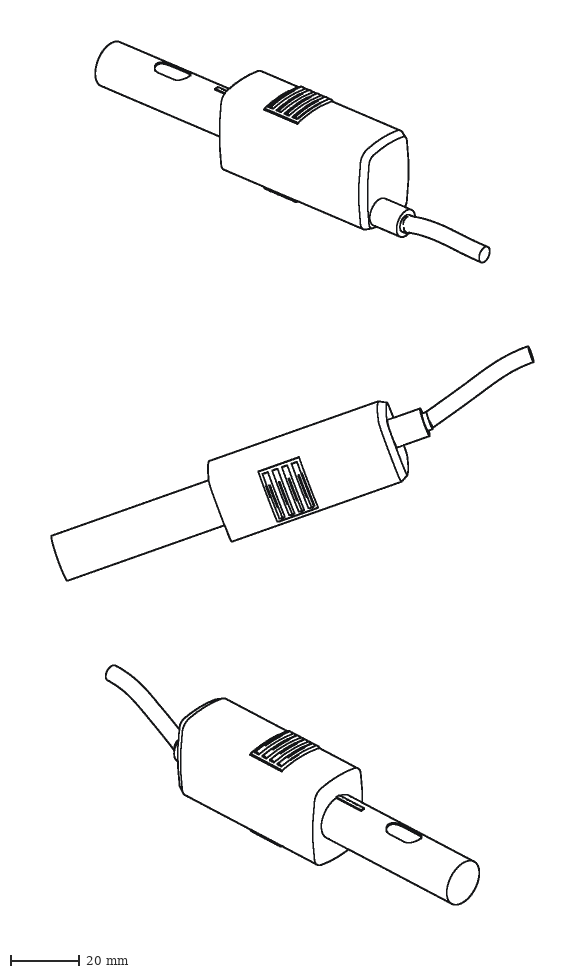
import cadquery as cq
import math

TUBE_DIAMETER = 14.0
TUBE_LENGTH = 50.0
TUBE_CORE_DIAMETER = 13.0
WINDOW_START = 17.6
WINDOW_LENGTH = 11.9
WINDOW_WIDTH = 6.0
KEY_LENGTH = 10.0
KEY_WIDTH = 1.4
KEY_RISE = 0.3

HOUSING_LENGTH = 55.0
HALF_WIDTH = 10.7
HALF_HEIGHT = 14.3
CORNER_RADIUS = 3.8
CORNER_Y = 6.2
CORNER_Z = 10.0
END_BEVEL_LENGTH = 2.3
END_BEVEL_INSET = 1.2
WALL_THICKNESS = 1.4

GRIP_CENTER_X = 71.2
PAD_LENGTH = 12.8
PAD_WIDTH = 16.3
PAD_RISE = 0.5
PAD_ROUND = 0.8
RIDGE_COUNT = 4
RIDGE_PITCH = 3.0
RIDGE_THICKNESS = 1.8
RIDGE_WIDTH = 14.5
RIDGE_RISE = 0.9
RIDGE_ROUND = 0.8

OUTLET_Y = -4.0
OUTLET_Z = -8.1
SLEEVE_DIAMETER = 8.6
SLEEVE_LENGTH = 10.1
NECK_DIAMETER = 5.5
NECK_LENGTH = 1.5
CABLE_DIAMETER = 5.0
CABLE_END = (150.8, -11.2, -1.8)
CABLE_MIDDLE = (131.5, -7.7, -3.8)
CABLE_START_DIRECTION = (1.0, -0.2, 0.4)
CABLE_END_DIRECTION = (1.0, 0.0, 0.0)

HOUSING_END = TUBE_LENGTH + HOUSING_LENGTH
SLEEVE_END = HOUSING_END + SLEEVE_LENGTH


def rod(diameter, start, end, y=0.0, z=0.0):
    """Round bar along X between two X positions."""
    plane = cq.Workplane("YZ", origin=(start, y, z))
    return plane.circle(diameter / 2).extrude(end - start)


def arc_tilt(along, rise):
    """Angle turned by an arc from its crown to a point this far along and below it."""
    return 2 * math.atan2(rise, along)


def housing_prism(start, length, growth=0.0):
    """Housing cross-section, grown evenly outward, extruded along X."""
    radius = CORNER_RADIUS + growth
    top_tilt = arc_tilt(CORNER_Y, HALF_HEIGHT - CORNER_RADIUS - CORNER_Z)
    side_tilt = arc_tilt(CORNER_Z, HALF_WIDTH - CORNER_RADIUS - CORNER_Y)

    def corner(angle, y_sign, z_sign):
        y = CORNER_Y + radius * math.cos(angle)
        z = CORNER_Z + radius * math.sin(angle)
        return (y_sign * y, z_sign * z)

    top_angle = math.pi / 2 - top_tilt
    middle_angle = (top_angle + side_tilt) / 2
    top = HALF_HEIGHT + growth
    side = HALF_WIDTH + growth
    outline = (
        cq.Workplane("YZ", origin=(start, 0, 0))
        .moveTo(*corner(top_angle, -1, 1))
        .threePointArc((0, top), corner(top_angle, 1, 1))
        .threePointArc(corner(middle_angle, 1, 1), corner(side_tilt, 1, 1))
        .threePointArc((side, 0), corner(side_tilt, 1, -1))
        .threePointArc(corner(middle_angle, 1, -1), corner(top_angle, 1, -1))
        .threePointArc((0, -top), corner(top_angle, -1, -1))
        .threePointArc(corner(middle_angle, -1, -1), corner(side_tilt, -1, -1))
        .threePointArc((-side, 0), corner(side_tilt, -1, 1))
        .threePointArc(corner(middle_angle, -1, 1), corner(top_angle, -1, 1))
        .close()
    )
    return outline.extrude(length)


def tube_wall():
    """Thin outer tube with a rounded window that bares the core, and a key on top."""
    window = (
        cq.Workplane("XY")
        .center(WINDOW_START + WINDOW_LENGTH / 2, 0)
        .slot2D(WINDOW_LENGTH, WINDOW_WIDTH)
        .extrude(TUBE_DIAMETER)
    )
    key_height = TUBE_DIAMETER / 2 + KEY_RISE
    key = (
        cq.Workplane("XY", origin=(TUBE_LENGTH - KEY_LENGTH, 0, 0))
        .box(KEY_LENGTH, KEY_WIDTH, key_height, centered=(False, True, False))
    )
    return rod(TUBE_DIAMETER, 0, TUBE_LENGTH).cut(window).union(key).cut(tube_core())


def tube_core():
    """Solid filling of the probe tube."""
    return rod(TUBE_CORE_DIAMETER, 0, TUBE_LENGTH)


def housing_wall():
    """Housing shell, closed at the cable end, where its rim is bevelled."""
    block = housing_prism(TUBE_LENGTH, HOUSING_LENGTH)
    return block.faces(">X").chamfer(END_BEVEL_LENGTH, END_BEVEL_INSET).cut(housing_core())


def housing_core():
    """Solid filling of the housing, flush with the wall at the tube end."""
    return housing_prism(TUBE_LENGTH, HOUSING_LENGTH - END_BEVEL_LENGTH, -WALL_THICKNESS)


def raised_band(center_x, length, width, rise, edge_round):
    """Round-edged band following the housing outline, kept on the top and bottom only."""
    band = housing_prism(center_x - length / 2, length, rise)
    band = band.faces("<X or >X").edges().fillet(edge_round)
    keep = cq.Workplane("XY").box(length, width, 4 * HALF_HEIGHT).translate((center_x, 0, 0))
    return band.intersect(keep)


def grips():
    """Round-topped ridges across a raised pad, on the top and on the bottom."""
    body = raised_band(GRIP_CENTER_X, PAD_LENGTH, PAD_WIDTH, PAD_RISE, PAD_ROUND)
    for index in range(RIDGE_COUNT):
        x = GRIP_CENTER_X + (index - (RIDGE_COUNT - 1) / 2) * RIDGE_PITCH
        ridge = raised_band(x, RIDGE_THICKNESS, RIDGE_WIDTH, RIDGE_RISE, RIDGE_ROUND)
        body = body.union(ridge)
    return body.cut(housing_prism(TUBE_LENGTH, HOUSING_LENGTH))


def cable():
    """Sleeve and neck on the housing end, with a gently bent cable leaving them."""
    sleeve = rod(SLEEVE_DIAMETER, HOUSING_END, SLEEVE_END, OUTLET_Y, OUTLET_Z)
    neck = rod(NECK_DIAMETER, SLEEVE_END, SLEEVE_END + NECK_LENGTH, OUTLET_Y, OUTLET_Z)
    start = (SLEEVE_END + NECK_LENGTH / 2, OUTLET_Y, OUTLET_Z)
    path = cq.Workplane("XY").spline(
        [start, CABLE_MIDDLE, CABLE_END],
        tangents=[CABLE_START_DIRECTION, CABLE_END_DIRECTION],
    )
    profile = cq.Workplane(cq.Plane(start, normal=CABLE_START_DIRECTION))
    wire = profile.circle(CABLE_DIAMETER / 2).sweep(path)
    return sleeve.union(neck).union(wire)


result = tube_core().union(housing_core())
for piece in (tube_wall(), housing_wall(), grips(), cable()):
    result = result.union(piece, clean=False)